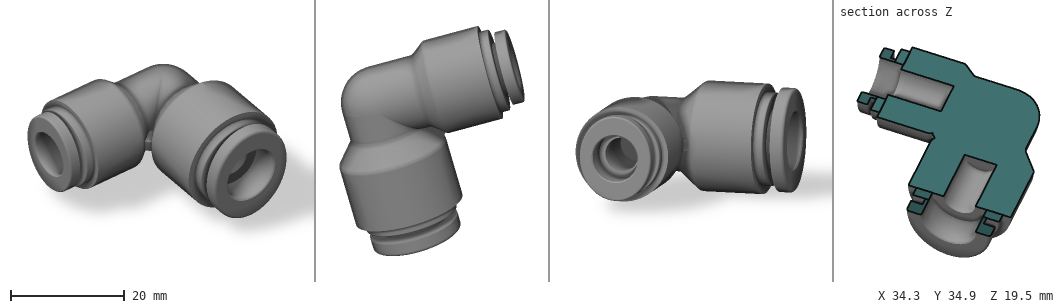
import cadquery as cq


neck_diameter = 13.0
body_end = 20.55
transition_radius = 1.0
passage_diameter = 6.0
passage_depth = 10.0

small = dict(
    body_diameter=16.9,
    cone_start=8.0,
    cone_end=10.5,
    collar_diameter=14.7,
    collar_end=22.2,
    collar_fillet=0.2,
    stem_diameter=9.6,
    flange_start=23.1,
    flange_width=13.0,
    flange_height=15.1,
    flange_fillet=0.3,
    button_end=25.1,
    bore_diameter=8.2,
    mouth_chamfer=0.2,
)

large = dict(
    body_diameter=19.5,
    cone_start=5.57,
    cone_end=9.5,
    collar_diameter=16.5,
    collar_end=22.25,
    collar_fillet=0.2,
    stem_diameter=11.7,
    flange_start=23.5,
    flange_width=16.0,
    flange_height=18.5,
    flange_fillet=0.5,
    button_end=25.88,
    bore_diameter=10.2,
    mouth_chamfer=0.2,
)

web_thickness = 2.0
web_large_corner = (9.0, -9.36)
web_small_corner = (8.2, -10.15)


def circle_at(x):
    """Select the circular edge centred on the X axis at x."""
    return cq.selectors.NearestToPointSelector((x, 0, 0))


def rod(start, end, diameter):
    """Solid cylinder along the X axis."""
    return cq.Workplane("YZ", origin=(start, 0, 0)).circle(diameter / 2).extrude(end - start)


def turn_to_small_leg(body):
    """Swing a body built along +X round to -Y."""
    return body.rotate((0, 0, 0), (0, 0, 1), -90)


def make_leg(leg):
    """Neck, cone and body of one housing leg, along +X."""
    neck_radius = neck_diameter / 2
    body_radius = leg["body_diameter"] / 2
    profile = [
        (0, 0),
        (0, neck_radius),
        (leg["cone_start"], neck_radius),
        (leg["cone_end"], body_radius),
        (body_end, body_radius),
        (body_end, 0),
    ]
    turned = cq.Workplane("XY").polyline(profile).close().revolve(360, (0, 0, 0), (1, 0, 0))
    turned = turned.edges(circle_at(leg["cone_start"])).fillet(transition_radius)
    return turned.edges(circle_at(leg["cone_end"])).fillet(transition_radius)


def make_housing():
    """Two legs joined by a spherical outer corner and an inner web."""
    corner = cq.Workplane("XY").sphere(neck_diameter / 2, angle3=90).rotate((0, 0, 0), (0, 0, 1), 90)
    web = (
        cq.Workplane("XY")
        .polyline([(0, 0), web_large_corner, web_small_corner])
        .close()
        .extrude(web_thickness / 2, both=True)
    )
    passage = rod(body_end - passage_depth, body_end, passage_diameter)
    return (
        make_leg(large)
        .union(turn_to_small_leg(make_leg(small)))
        .union(corner)
        .union(web)
        .cut(passage)
        .cut(turn_to_small_leg(passage))
    )


def make_collar(leg):
    """Ring seated on the open face of a leg, along +X."""
    ring = rod(body_end, leg["collar_end"], leg["collar_diameter"])
    ring = ring.faces(">X").edges().fillet(leg["collar_fillet"])
    return ring.cut(rod(body_end, leg["collar_end"], leg["bore_diameter"]))


def make_button(leg):
    """Release button: round stem against the collar and an oval flange, along +X."""
    stem = rod(leg["collar_end"], leg["flange_start"], leg["stem_diameter"])
    flange = (
        cq.Workplane("YZ", origin=(leg["flange_start"], 0, 0))
        .ellipse(leg["flange_width"] / 2, leg["flange_height"] / 2)
        .extrude(leg["button_end"] - leg["flange_start"])
        .faces(">X")
        .edges()
        .fillet(leg["flange_fillet"])
    )
    bore = rod(leg["collar_end"], leg["button_end"], leg["bore_diameter"])
    bored = stem.union(flange).cut(bore)
    mouth = bored.faces(">X").edges(cq.selectors.RadiusNthSelector(0))
    return mouth.chamfer(leg["mouth_chamfer"])


housing = make_housing()
large_collar = make_collar(large)
large_button = make_button(large)
small_collar = turn_to_small_leg(make_collar(small))
small_button = turn_to_small_leg(make_button(small))

result = cq.Compound.makeCompound([
    housing.val(),
    large_collar.val(),
    large_button.val(),
    small_collar.val(),
    small_button.val(),
])